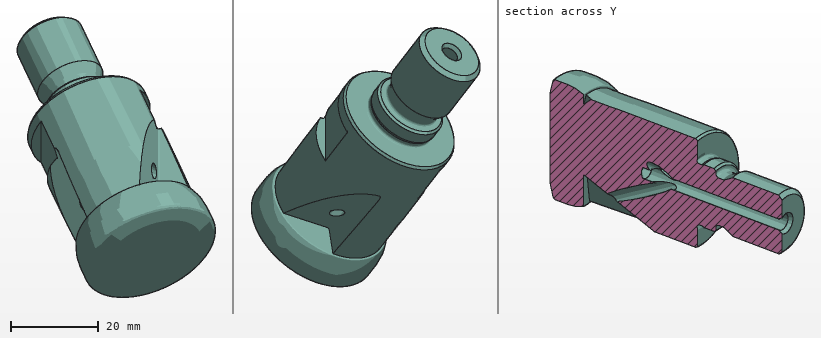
import cadquery as cq
import math


shank_radius = 16.0 / 2
shank_chamfer = 1.0
shank_end = 14.05
neck_radius = 13.0 / 2
neck_cone_angle = 30
neck_end = 18.0
neck_corner_radius = 0.8

collar_radius = 17.0 / 2
collar_chamfer = 0.5
collar_straight_end = 22.2
relief_radius = 16.55 / 2
relief_start = 22.75
relief_rim_radius = 9.7
relief_corner_radius = 0.6
relief_depth = 0.2

body_radius = 29 / 2
body_start = 23.95
body_chamfer_length = 0.65
body_chamfer_height = 0.4
body_straight_end = 45.1
body_end_radius = 14.4

total_length = 66
head_radius = 32.0 / 2
head_start = 56.35
head_back_radius = 14.9
head_back_round = 0.3
head_bulge_end = 60.95
head_rim_round = 1.0
head_face_radius = 12.1
head_face_rise = 0.9

flat_distance = 12.1
flat_start = 27.0
flat_length = 10.15

flute_count = 3
first_flute_angle = 22.7
flute_floor_height = 6.3
flute_floor_angle = 21.5
flute_wall_offset = 1.1
flute_wall_angle = 2.6
flute_corner_radius = 0.5
flute_overrun = 3.3

bore_radius = 4.0 / 2
bore_mouth_radius = 2.6
bore_mouth_depth = 1.0
bore_depth = 39.6
drill_point_angle = 118
branch_radius = 3.0 / 2
branch_length = 23.1
branch_start = 30.7
branch_rise_angle = 29
branch_side_angle = 22

clearance = 19.8


def revolve_about_x(profile):
    return profile.close().revolve(360, (0, 0, 0), (1, 0, 0))


def ring_at(x):
    """Selector for the circular edge lying in the plane X = x."""
    slack = 0.05
    return cq.selectors.BoxSelector(
        (x - slack, -clearance, -clearance), (x + slack, clearance, clearance), boundingbox=True
    )


def make_shaft():
    """Shank, neck, collar, relief groove and body in one turning."""
    cone = math.radians(neck_cone_angle)
    neck_start = shank_end + (shank_radius - neck_radius) / math.tan(cone)
    tangent = neck_corner_radius * math.tan(cone / 2)
    shoulder = neck_end + neck_corner_radius
    relief_bottom = body_start + relief_depth
    profile = (
        cq.Workplane("XY")
        .lineTo(0, shank_radius - shank_chamfer)
        .lineTo(shank_chamfer, shank_radius)
        .lineTo(shank_end, shank_radius)
        .lineTo(neck_start - tangent * math.cos(cone), neck_radius + tangent * math.sin(cone))
        .radiusArc((neck_start + tangent, neck_radius), -neck_corner_radius)
        .lineTo(neck_end, neck_radius)
        .radiusArc((shoulder, neck_radius + neck_corner_radius), -neck_corner_radius)
        .lineTo(shoulder, collar_radius - collar_chamfer)
        .lineTo(shoulder + collar_chamfer, collar_radius)
        .lineTo(collar_straight_end, collar_radius)
        .lineTo(relief_start, relief_radius)
        .lineTo(relief_bottom - relief_corner_radius, relief_radius)
        .radiusArc((relief_bottom, relief_radius + relief_corner_radius), -relief_corner_radius)
        .lineTo(body_start, relief_rim_radius)
        .lineTo(body_start, body_radius - body_chamfer_height)
        .lineTo(body_start + body_chamfer_length, body_radius)
        .lineTo(body_straight_end, body_radius)
        .lineTo(head_start, body_end_radius)
        .lineTo(head_start, 0)
    )
    return revolve_about_x(profile)


def make_head():
    """Bulged cutting head with a shallow conical front rim."""
    bulge_length = head_bulge_end - head_start
    bulge_height = head_radius - head_back_radius
    bulge_radius = (bulge_length**2 + bulge_height**2) / (2 * bulge_height)
    rim_start = total_length - head_face_rise
    profile = (
        cq.Workplane("XY")
        .moveTo(head_start, 0)
        .lineTo(head_start, head_back_radius)
        .radiusArc((head_bulge_end, head_radius), bulge_radius)
        .lineTo(rim_start, head_radius)
        .lineTo(total_length, head_face_radius)
        .lineTo(total_length, 0)
    )
    head = revolve_about_x(profile)
    head = head.edges(ring_at(rim_start)).fillet(head_rim_round)
    return head.edges(ring_at(head_start)).fillet(head_back_round)


def make_flat_cutter(side):
    block = cq.Workplane("XY").box(flat_length, clearance, 2 * clearance)
    return block.translate((flat_start + flat_length / 2, side * (flat_distance + clearance / 2), 0))


def make_flute_cutter():
    """Wedge with a floor that sinks toward the head and a nearly radial wall, opening to +Y and +Z."""
    floor_slope = math.tan(math.radians(flute_floor_angle))
    wedge_length = (clearance - flute_floor_height) / floor_slope
    floor_end = (flute_overrun, flute_floor_height - flute_overrun * floor_slope)
    floor_top = (-wedge_length, clearance)
    wedge = (
        cq.Workplane("XY")
        .polyline([floor_end, (flute_overrun, clearance), floor_top])
        .close()
        .extrude(clearance)
    )
    root_middle = ((floor_end[0] + floor_top[0]) / 2, (floor_end[1] + floor_top[1]) / 2, 0)
    root_edge = cq.selectors.NearestToPointSelector(root_middle)
    wedge = wedge.edges(root_edge).fillet(flute_corner_radius)
    wedge = wedge.rotate((0, 0, 0), (0, 1, 0), -flute_wall_angle)
    return wedge.translate((head_start, 0, flute_wall_offset))


def make_branch_cutter():
    """Coolant branch from the axis to the flute floor."""
    rise = math.radians(branch_rise_angle)
    side = math.radians(branch_side_angle)
    radial = math.sin(rise)
    direction = cq.Vector(math.cos(rise), radial * math.cos(side), radial * math.sin(side))
    start = cq.Vector(branch_start, 0, 0)
    return cq.Workplane(cq.Solid.makeCylinder(branch_radius, branch_length, start, direction))


def make_bore_cutter():
    point_length = bore_radius / math.tan(math.radians(drill_point_angle / 2))
    profile = (
        cq.Workplane("XY")
        .lineTo(0, bore_mouth_radius)
        .lineTo(bore_mouth_depth, bore_radius)
        .lineTo(bore_depth, bore_radius)
        .lineTo(bore_depth + point_length, 0)
    )
    return revolve_about_x(profile)


def cut_at_flutes(body, cutter):
    """Repeat a cutter around X at every flute position."""
    for index in range(flute_count):
        angle = first_flute_angle + index * 360 / flute_count
        body = body.cut(cutter.rotate((0, 0, 0), (1, 0, 0), angle))
    return body


result = make_shaft()
for side in (-1, 1):
    result = result.cut(make_flat_cutter(side))
result = cut_at_flutes(result, make_flute_cutter())
result = result.union(make_head())
result = cut_at_flutes(result, make_branch_cutter())
result = result.cut(make_bore_cutter())